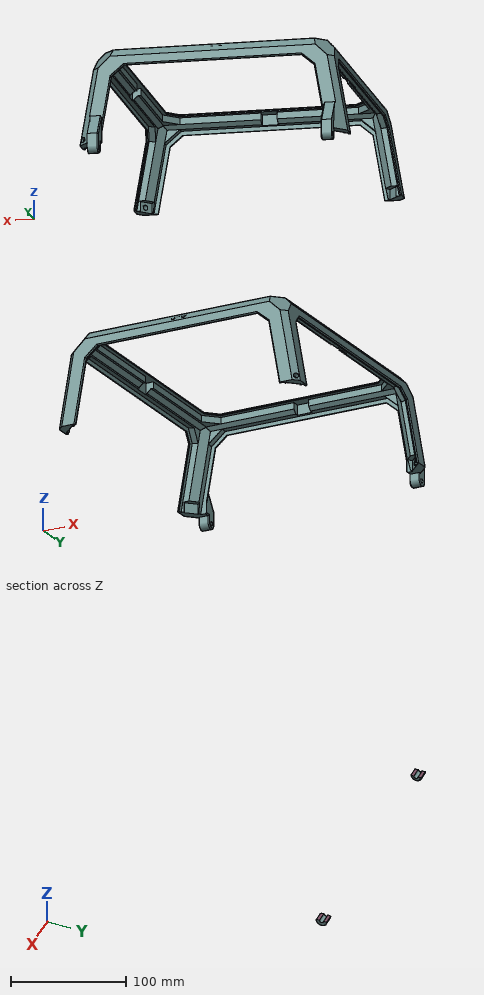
import cadquery as cq
import math

FOOT_SPAN = 238.0
HALF_WIDTH = FOOT_SPAN / 2
HEIGHT = 84.8
SLOPE = math.tan(math.radians(10))
POST_BEVEL = 5.3
ROOF_BEVEL = 5.3
ROOF_BEVEL_DROP = 7.0
CORNER_REACH = 20.0
CORNER_DROP = 23.0

POST_WIDTH = 17.3
RAIL_WIDTH = 14.3
ROOF_SIDE_WIDTH = 15.0
EDGE_CHAMFER = 1.0
LIP_WIDTH = 2.8
LIP_THICKNESS = 2.0
MEMBER_DEPTH = 8.0
ARCH_CORNER = 10.3
SIDE_CORNER = 9.0
ROOF_CORNER = 10.8
NOTCH_LENGTH = 14.5
NOTCH_WALL = 5.0

LUG_OUTSIDE = 108.5
LUG_THICKNESS = 9.8
LUG_RADIUS = 5.0
LUG_REACH = 12.8
LUG_TIP = HALF_WIDTH + LUG_REACH
LUG_HOLE_Z = -6.0
LUG_HOLE_DIAMETER = 3.5
LUG_SHOULDER_Z = 5.8
LUG_TOP_Z = 24.8
LUG_CHAMFER = 1.0

DIMPLE_DIAMETER = 3.5
DIMPLE_OFFSET = 5.0
DIMPLE_DROP = 3.3
DIMPLE_TILT = 10
FOOT_HOLE_DIAMETER = 4.5
FOOT_HOLE_Z = 4.5
FOOT_RECESS_WIDTH = 13.0
FOOT_RECESS_HEIGHT = 9.3
FOOT_RECESS_REACH = 17.0

FAR = 250.8


def keep_inside(solid, side, end, drop, reach):
    """Trim a solid to side*u + end*v + drop*w >= reach.

    u, v and w are the distances inward from a side wall, an end wall and the roof;
    side and end are signed to pick the wall.
    """
    normal = cq.Vector(side, end, abs(side) * SLOPE + drop)
    limit = (abs(side) + abs(end)) * HALF_WIDTH + drop * HEIGHT - reach
    origin = normal * (limit / normal.Length ** 2)
    plane = cq.Plane(origin.toTuple(), normal=normal.toTuple())
    return solid.cut(cq.Workplane(plane).rect(4 * FAR, 4 * FAR).extrude(2 * FAR))


def block():
    return cq.Workplane("XY").box(2 * FAR, 2 * FAR, FAR, centered=(True, True, False))


def make_envelope():
    solid = keep_inside(block(), 0, 0, 1, 0)
    bevel_weight = ROOF_BEVEL_DROP / ROOF_BEVEL
    corner_weight = CORNER_REACH / CORNER_DROP
    for sign in (-1, 1):
        solid = keep_inside(solid, sign, 0, 0, 0)
        solid = keep_inside(solid, 0, sign, 0, 0)
        solid = keep_inside(solid, sign * bevel_weight, 0, 1, ROOF_BEVEL_DROP)
        solid = keep_inside(solid, 0, sign * bevel_weight, 1, ROOF_BEVEL_DROP)
        for end in (-1, 1):
            solid = keep_inside(solid, sign, end, 0, POST_BEVEL)
            solid = keep_inside(solid, sign, end, corner_weight, CORNER_REACH)
    return solid


def make_core():
    """Inner void whose slanted faces join the inner edges of neighbouring rebates."""
    post_reach = POST_WIDTH - LIP_WIDTH + MEMBER_DEPTH
    rail_reach = RAIL_WIDTH - LIP_WIDTH + MEMBER_DEPTH
    solid = block().translate((0, 0, -FAR / 2))
    solid = keep_inside(solid, 0, 0, 1, MEMBER_DEPTH)
    for sign in (-1, 1):
        solid = keep_inside(solid, sign, 0, 0, MEMBER_DEPTH)
        solid = keep_inside(solid, 0, sign, 0, MEMBER_DEPTH)
        solid = keep_inside(solid, sign, 0, 1, rail_reach)
        solid = keep_inside(solid, 0, sign, 1, rail_reach)
        for end in (-1, 1):
            solid = keep_inside(solid, sign, end, 0, post_reach)
    return solid


def arch_outline(top, lean, corner):
    """Opening between two posts, open at the feet, with cut upper corners."""
    foot = -RAIL_WIDTH
    half = HALF_WIDTH - POST_WIDTH
    shoulder = top - corner
    right = [
        (half - lean * foot, foot),
        (half - lean * shoulder, shoulder),
        (half - lean * top - corner, top),
    ]
    return right + [(-x, y) for x, y in reversed(right)]


def roof_outline():
    half_x = HALF_WIDTH - SLOPE * HEIGHT - ROOF_SIDE_WIDTH
    half_y = HALF_WIDTH - RAIL_WIDTH
    right = [
        (half_x - ROOF_CORNER, -half_y),
        (half_x, ROOF_CORNER - half_y),
        (half_x, half_y - ROOF_CORNER),
        (half_x - ROOF_CORNER, half_y),
    ]
    return right + [(-x, y) for x, y in reversed(right)]


def make_panels():
    """Each outer wall as a plane facing outward, with the outline of its opening."""
    top = HEIGHT - RAIL_WIDTH
    arch = arch_outline(top, SLOPE, ARCH_CORNER)
    side = arch_outline(top * math.hypot(1, SLOPE), 0, SIDE_CORNER)
    panels = [(cq.Plane((0, 0, HEIGHT)), roof_outline())]
    for sign in (-1, 1):
        end_plane = cq.Plane((0, sign * HALF_WIDTH, 0), xDir=(-sign, 0, 0), normal=(0, sign, 0))
        side_plane = cq.Plane((sign * HALF_WIDTH, 0, 0), xDir=(0, sign, 0), normal=(sign, 0, SLOPE))
        panels += [(end_plane, arch), (side_plane, side)]
    return panels


def make_opening(plane, outline):
    """Chamfered opening through the lip and the wider rebate behind it."""
    bevel = cq.Workplane(plane).polyline(outline).close().extrude(-EDGE_CHAMFER, taper=45)
    hole = cq.Workplane(plane).polyline(outline).close().offset2D(-EDGE_CHAMFER, "intersection")
    hole = hole.extrude(-HALF_WIDTH / 2)
    rebate = cq.Workplane(plane).workplane(offset=-LIP_THICKNESS).polyline(outline).close()
    rebate = rebate.offset2D(LIP_WIDTH, "intersection").extrude(-HALF_WIDTH / 2)
    return bevel.union(hole).union(rebate)


def make_notches():
    """Gaps in the middle of the four rails, below the lip."""
    long = 2 * (HALF_WIDTH - NOTCH_WALL)
    side_long = long - 2 * SLOPE * HEIGHT
    bottom = HEIGHT - 2 * RAIL_WIDTH
    tall = HEIGHT - LIP_THICKNESS - bottom
    across = cq.Workplane("XY").box(side_long, NOTCH_LENGTH, tall, centered=(True, True, False))
    along = cq.Workplane("XY").box(NOTCH_LENGTH, long, tall, centered=(True, True, False))
    return across.union(along).translate((0, 0, bottom))


def make_lug():
    """Hinge lug on the +X back post, with the gusset that carries on the post bevel."""
    hole_y = LUG_TIP - LUG_RADIUS
    inner_y = HALF_WIDTH - LIP_THICKNESS
    lug = (
        cq.Workplane("YZ", origin=(LUG_OUTSIDE - LUG_THICKNESS, 0, 0))
        .moveTo(inner_y, 0)
        .lineTo(hole_y - LUG_RADIUS, 0)
        .lineTo(hole_y - LUG_RADIUS, LUG_HOLE_Z)
        .threePointArc((hole_y, LUG_HOLE_Z - LUG_RADIUS), (LUG_TIP, LUG_HOLE_Z))
        .lineTo(LUG_TIP, LUG_SHOULDER_Z)
        .lineTo(HALF_WIDTH, LUG_TOP_Z)
        .lineTo(inner_y, LUG_TOP_Z)
        .close()
        .extrude(LUG_THICKNESS)
    )
    lug = lug.faces("<X").edges("not <Y").chamfer(LUG_CHAMFER)
    gusset = (
        cq.Workplane("YZ", origin=(LUG_OUTSIDE, 0, 0))
        .polyline([(inner_y, 0), (LUG_TIP, 0), (LUG_TIP, LUG_SHOULDER_Z),
                   (HALF_WIDTH, LUG_TOP_Z), (inner_y, LUG_TOP_Z)])
        .close()
        .extrude(HALF_WIDTH - LUG_OUTSIDE)
    )
    gusset = keep_inside(gusset, 1, 1, 0, POST_BEVEL)
    gusset = keep_inside(gusset, 1, 0, 0, 0)
    hole = (
        cq.Workplane("YZ")
        .center(hole_y, LUG_HOLE_Z)
        .circle(LUG_HOLE_DIAMETER / 2)
        .extrude(FAR)
    )
    return lug.union(gusset).cut(hole)


def make_dimple(x):
    """Round dimple in the front roof bevel, tilted so that only its lower half sinks in."""
    y = -HALF_WIDTH + ROOF_BEVEL * (1 - DIMPLE_DROP / ROOF_BEVEL_DROP)
    angle = math.atan2(ROOF_BEVEL, ROOF_BEVEL_DROP) - math.radians(DIMPLE_TILT)
    plane = cq.Plane((x, y, HEIGHT - DIMPLE_DROP), xDir=(1, 0, 0),
                     normal=(0, -math.cos(angle), math.sin(angle)))
    return cq.Workplane(plane).circle(DIMPLE_DIAMETER / 2).extrude(DIMPLE_DIAMETER)


def foot_plane(side, end, z):
    """Upright plane across a foot, at the back of its recess and facing the middle of the part."""
    inset = HALF_WIDTH - FOOT_RECESS_REACH / 2
    return cq.Plane((side * inset, end * inset, z), xDir=(-end, side, 0), normal=(-side, -end, 0))


def make_foot_recess(side, end):
    sketch = cq.Workplane(foot_plane(side, end, 0)).rect(FOOT_RECESS_WIDTH, 2 * FOOT_RECESS_HEIGHT)
    return sketch.extrude(FOOT_RECESS_REACH)


def make_foot_hole(side, end):
    sketch = cq.Workplane(foot_plane(side, end, FOOT_HOLE_Z)).circle(FOOT_HOLE_DIAMETER / 2)
    return sketch.extrude(FOOT_RECESS_REACH, both=True)


result = make_envelope().cut(make_core())
for panel_plane, panel_outline in make_panels():
    result = result.cut(make_opening(panel_plane, panel_outline))
result = result.cut(make_notches())

for end_sign in (-1, 1):
    for side_sign in (-1, 1):
        result = result.cut(make_foot_recess(side_sign, end_sign))
    result = result.cut(make_foot_hole(1, end_sign))

right_lug = make_lug()
result = result.union(right_lug).union(right_lug.mirror("YZ"))

for side_sign in (-1, 1):
    result = result.cut(make_dimple(side_sign * DIMPLE_OFFSET))